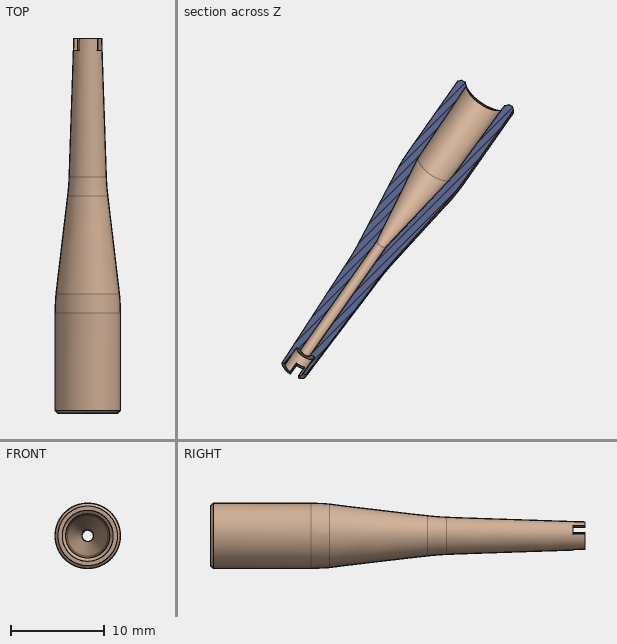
import cadquery as cq
import math

length = 39.9
barrel_radius = 7.0 / 2
tip_radius = 3.0 / 2

barrel_end = 10.7
shoulder_end = 12.7
cone_end = 23.1
neck_end = 25.15
shoulder_radius = 3.4
cone_end_radius = 2.15
neck_radius = 2.0

rim_chamfer = 0.3
mouth_radius = 2.7
mouth_chamfer = 0.35

socket_depth = barrel_end
socket_end_radius = 2.15
passage_radius = 1.2 / 2
floor_angle = 8.0
tip_bore_radius = 2.2 / 2
tip_bore_depth = 2.4

slot_count = 3
slot_width = 1.05
slot_depth = 1.28
first_slot_angle = 27.0


def arc_middle(start, end, start_slope):
    """Point halfway along the arc leaving start at slope dr/dy and reaching end."""
    chord = math.hypot(end[0] - start[0], end[1] - start[1])
    chord_angle = math.atan2(end[0] - start[0], end[1] - start[1])
    bend = chord_angle - math.atan(start_slope)
    sagitta = chord / 2 * math.tan(bend / 2)
    return (
        (start[0] + end[0]) / 2 - sagitta * math.cos(chord_angle),
        (start[1] + end[1]) / 2 + sagitta * math.sin(chord_angle),
    )


def make_body():
    """Turned outer shape; profile points are (radius, y)."""
    barrel_edge = (barrel_radius, barrel_end)
    cone_start = (shoulder_radius, shoulder_end)
    cone_finish = (cone_end_radius, cone_end)
    neck_finish = (neck_radius, neck_end)
    cone_slope = (cone_end_radius - shoulder_radius) / (cone_end - shoulder_end)
    profile = (
        cq.Workplane("XY")
        .moveTo(0, 0)
        .lineTo(barrel_radius - rim_chamfer, 0)
        .lineTo(barrel_radius, rim_chamfer)
        .lineTo(*barrel_edge)
        .threePointArc(arc_middle(barrel_edge, cone_start, 0), cone_start)
        .lineTo(*cone_finish)
        .threePointArc(arc_middle(cone_finish, neck_finish, cone_slope), neck_finish)
        .lineTo(tip_radius, length)
        .lineTo(0, length)
        .close()
    )
    return profile.revolve(360, (0, 0, 0), (0, 1, 0))


def make_bore():
    """Turned cavity running the full length; profile points are (radius, y)."""
    floor_height = (socket_end_radius - passage_radius) / math.tan(math.radians(floor_angle))
    profile = cq.Workplane("XY").polyline([
        (0, 0),
        (mouth_radius, 0),
        (mouth_radius - mouth_chamfer, mouth_chamfer),
        (socket_end_radius, socket_depth),
        (passage_radius, socket_depth + floor_height),
        (passage_radius, length - tip_bore_depth),
        (tip_bore_radius, length - tip_bore_depth),
        (tip_bore_radius, length),
        (0, length),
    ]).close()
    return profile.revolve(360, (0, 0, 0), (0, 1, 0))


def make_slot(angle):
    """Radial slot cutter open to the tip face, turned about Y."""
    slot = cq.Workplane("XY").box(
        barrel_radius, slot_depth, slot_width, centered=(False, False, True)
    )
    return slot.translate((0, length - slot_depth, 0)).rotate((0, 0, 0), (0, 1, 0), -angle)


result = make_body().cut(make_bore())
for index in range(slot_count):
    result = result.cut(make_slot(first_slot_angle + index * 360 / slot_count))